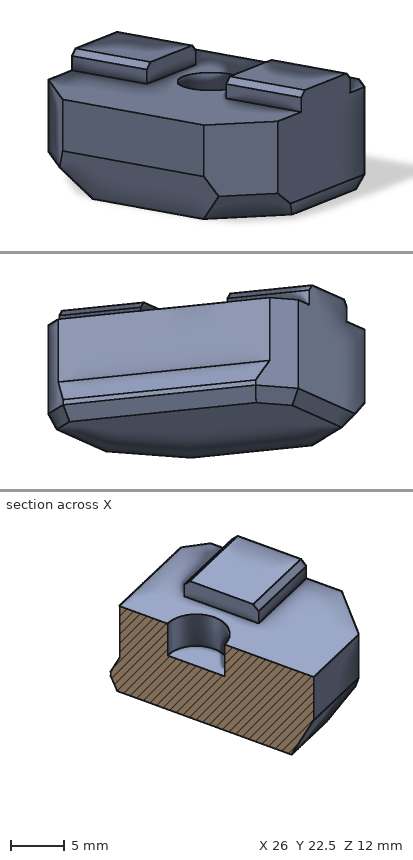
import cadquery as cq
import math

length = 26.0
front_reach = 13.0
back_reach = 9.5
total_height = 12.0
tab_height = 2.0
body_height = total_height - tab_height
half_length = length / 2

front_corner = 5.0
back_corner = 3.0

front_bevel_height = 5.0
front_bevel_inset = front_bevel_height / 2
front_corner_bevel = 3.0
rim_bevel_height = 1.5
rim_bevel_inset = rim_bevel_height / 2

lip_height = 2.0
wall_inset = 1.0
wall_base_height = lip_height + 2 * wall_inset

tab_length = 8.5
tab_width = 8.2
tab_chamfer = 0.6
hole_diameter = 6.3
hole_depth = 3.7


def wall_prism(section, angle):
    """Sweep an (outward distance, height) section along a wall facing the given angle."""
    span = 4 * length
    prism = cq.Workplane("XZ").polyline(section).close().extrude(span / 2, both=True)
    return prism.rotate((0, 0, 0), (0, 0, 1), angle)


def bevel(distance, angle, height, inset):
    """Wedge that bevels the bottom edge of a wall at this distance from the Z axis."""
    section = [(distance - inset, 0), (distance, 0), (distance, height)]
    return wall_prism(section, angle)


def corner_distance(reach, chamfer):
    """Distance from the Z axis to a 45 degree corner face."""
    return (half_length + reach - chamfer) / math.sqrt(2)


body = (
    cq.Workplane("XY")
    .polyline([
        (-half_length + front_corner, -front_reach),
        (half_length - front_corner, -front_reach),
        (half_length, -front_reach + front_corner),
        (half_length, back_reach - back_corner),
        (half_length - back_corner, back_reach),
        (-half_length + back_corner, back_reach),
        (-half_length, back_reach - back_corner),
        (-half_length, -front_reach + front_corner),
    ])
    .close()
    .extrude(body_height)
)

body = body.cut(bevel(front_reach, -90, front_bevel_height, front_bevel_inset))
body = body.cut(bevel(back_reach, 90, rim_bevel_height, rim_bevel_inset))
front_corner_distance = corner_distance(front_reach, front_corner)
back_corner_distance = corner_distance(back_reach, back_corner)
for side_angle in (0, 180):
    body = body.cut(bevel(half_length, side_angle, rim_bevel_height, rim_bevel_inset))
for corner_angle in (-45, -135):
    body = body.cut(
        bevel(front_corner_distance, corner_angle, front_corner_bevel, front_corner_bevel)
    )
for corner_angle in (45, 135):
    body = body.cut(
        bevel(back_corner_distance, corner_angle, rim_bevel_height, rim_bevel_inset)
    )

wall_section = [
    (back_reach, lip_height),
    (back_reach, body_height),
    (back_reach - wall_inset, body_height),
    (back_reach - wall_inset, wall_base_height),
]
body = body.cut(wall_prism(wall_section, 90))

for side in (-1, 1):
    tab = (
        cq.Workplane("XY", origin=(side * (half_length - tab_length / 2), 0, body_height))
        .box(tab_length, tab_width, tab_height, centered=(True, True, False))
        .faces(">Z")
        .edges("|X")
        .chamfer(tab_chamfer)
    )
    body = body.union(tab)

hole = (
    cq.Workplane("XY", origin=(0, 0, body_height - hole_depth))
    .circle(hole_diameter / 2)
    .extrude(hole_depth)
)
result = body.cut(hole)